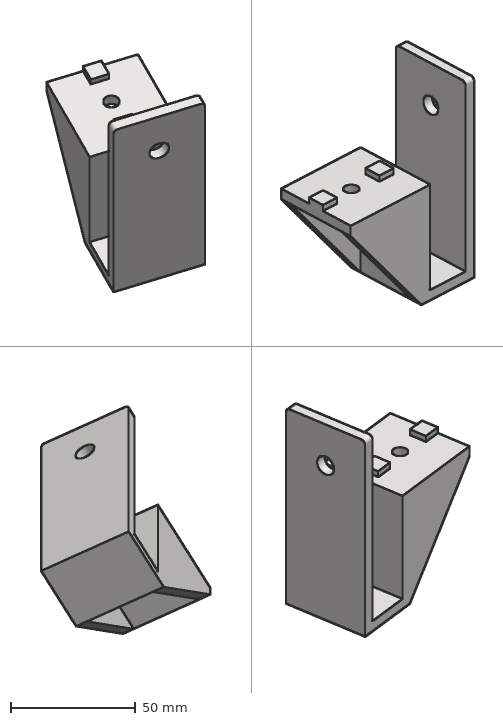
import cadquery as cq

width = 40.0
wall = 5.0
total_height = 95.0

shelf_depth = 45.0
shelf_height = 55.0
channel_gap = 20.0

pad_side = 8.0
pad_height = 2.8
pad_pitch = 32.0

shelf_hole_diameter = 6.5
plate_hole_diameter = 8.5
plate_hole_drop = 20.0
corner_size = 2.0

total_length = shelf_depth + channel_gap + wall
plate_front = total_length - wall
pocket_depth = shelf_depth - wall
pocket_height = shelf_height - wall
first_pad_x = pad_side / 2
shelf_hole_x = first_pad_x + pad_pitch / 2


def make_body():
    """Side profile of the bracket, extruded symmetrically across the width."""
    profile = [
        (0, pocket_height),
        (pocket_depth, 0),
        (total_length, 0),
        (total_length, total_height),
        (plate_front, total_height),
        (plate_front, wall),
        (shelf_depth, wall),
        (shelf_depth, shelf_height),
        (0, shelf_height),
    ]
    return cq.Workplane("XZ").polyline(profile).close().extrude(width / 2, both=True)


def cut_pocket(body):
    """Hollow the block under the shelf, leaving a rib on each side."""
    pocket = cq.Workplane("XY").box(
        pocket_depth, width - 2 * wall, pocket_height, centered=(False, True, False)
    )
    return body.cut(pocket)


def round_plate_corners(body):
    """Break the two upper corners of the back plate."""
    return body.faces(">Z").edges("|X").fillet(corner_size)


def add_pads(body):
    """Two square pads on the shelf, the first flush with its front edge."""
    for pad_x in (first_pad_x, first_pad_x + pad_pitch):
        pad = (
            cq.Workplane("XY", origin=(pad_x, 0, shelf_height))
            .rect(pad_side, pad_side)
            .extrude(pad_height)
        )
        body = body.union(pad)
    return body


def drill_holes(body):
    """One vertical hole through the shelf and one horizontal hole through the plate."""
    shelf_hole = (
        cq.Workplane("XY", origin=(shelf_hole_x, 0, pocket_height))
        .circle(shelf_hole_diameter / 2)
        .extrude(wall)
    )
    plate_hole = (
        cq.Workplane("YZ", origin=(plate_front, 0, total_height - plate_hole_drop))
        .circle(plate_hole_diameter / 2)
        .extrude(wall)
    )
    return body.cut(shelf_hole).cut(plate_hole)


result = drill_holes(add_pads(round_plate_corners(cut_pocket(make_body()))))